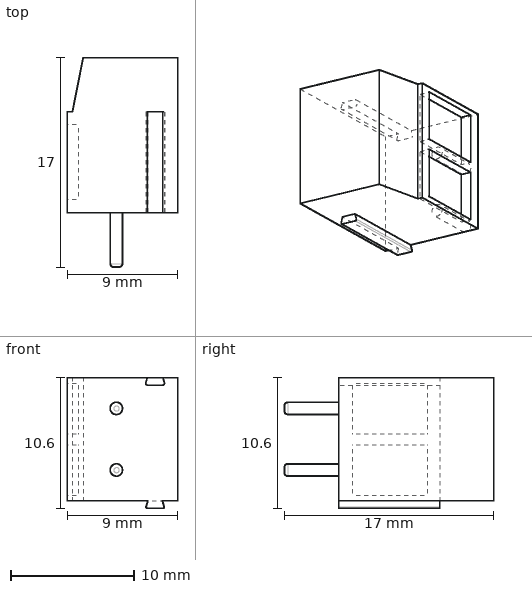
import cadquery as cq

body_width = 9.0
body_length = 12.6
pole_pitch = 5.0
pole_count = 2
body_height = pole_count * pole_pitch

step_y = 8.23
step_depth = 0.42
rear_inset = 1.3

pocket_front_y = 1.1
pocket_length = 6.1
pocket_height = 4.11
pocket_depth = 0.9

total_length = 17
pin_diameter = 1.0
pin_length = total_length - body_length
pin_tip_radius = 0.29
pin_x = 4.0

dovetail_x = 7.14
dovetail_depth = 0.61
groove_mouth_width = 1.25
groove_floor_width = 1.63
groove_corner_radius = 0.15
rail_root_width = 1.2
rail_face_width = 1.55
rail_corner_radius = 0.1

pole_heights = [(i + 0.5) * pole_pitch for i in range(pole_count)]


def make_body():
    """Housing with a step and a taper at the rear of the -X side."""
    outline = [
        (0, 0),
        (body_width, 0),
        (body_width, body_length),
        (rear_inset, body_length),
        (step_depth, step_y),
        (0, step_y),
    ]
    return cq.Workplane("XY").polyline(outline).close().extrude(body_height)


def make_pocket(center_z):
    """Rectangular recess in the -X side, centred on one pole."""
    return (
        cq.Workplane("XY")
        .box(pocket_depth, pocket_length, pocket_height, centered=(False, False, True))
        .translate((0, pocket_front_y, center_z))
    )


def make_pin(center_z):
    """Round pin with a rounded tip, standing on the pin face."""
    return (
        cq.Workplane("XZ", origin=(pin_x, 0, center_z))
        .circle(pin_diameter / 2)
        .extrude(pin_length)
        .faces("<Y")
        .edges()
        .fillet(pin_tip_radius)
    )


def make_dovetail(top_z, narrow_width, wide_width, corner_radius):
    """Dovetail bar below top_z, widening downwards, from the pin face to the step."""
    outline = [
        (-narrow_width / 2, 0),
        (narrow_width / 2, 0),
        (wide_width / 2, -dovetail_depth),
        (-wide_width / 2, -dovetail_depth),
    ]
    return (
        cq.Workplane("XZ", origin=(dovetail_x, 0, top_z))
        .polyline(outline)
        .close()
        .extrude(-step_y)
        .faces("<Z")
        .edges("|Y")
        .fillet(corner_radius)
    )


result = make_body()
for pole_z in pole_heights:
    result = result.cut(make_pocket(pole_z)).union(make_pin(pole_z))

groove = make_dovetail(body_height, groove_mouth_width, groove_floor_width, groove_corner_radius)
rail = make_dovetail(0, rail_root_width, rail_face_width, rail_corner_radius)
result = result.cut(groove).union(rail)